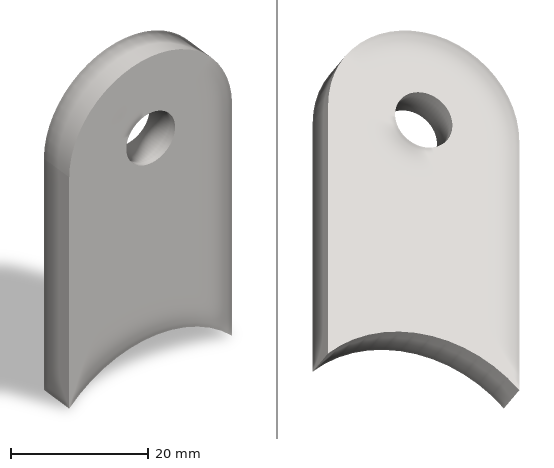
import cadquery as cq
import math

height = 56.2
width = 30.0
thickness = 6.0
hole_diameter = 9.0
hole_depth_from_top = 14.5
saddle_radius = 21.2

half_width = width / 2
shoulder_z = height - half_width
hole_z = height - hole_depth_from_top
saddle_rise = saddle_radius - math.sqrt(saddle_radius**2 - half_width**2)


def lug_plate():
    """Plate with a semicircular top and a concave saddle at the bottom."""
    return (
        cq.Workplane("YZ")
        .moveTo(-half_width, 0)
        .lineTo(-half_width, shoulder_z)
        .threePointArc((0, height), (half_width, shoulder_z))
        .lineTo(half_width, 0)
        .threePointArc((0, saddle_rise), (-half_width, 0))
        .close()
        .extrude(thickness / 2, both=True)
    )


def pin_hole():
    """Cylinder that passes through the full plate thickness."""
    return (
        cq.Workplane("YZ", origin=(-thickness / 2, 0, hole_z))
        .circle(hole_diameter / 2)
        .extrude(thickness)
    )


result = lug_plate().cut(pin_hole())